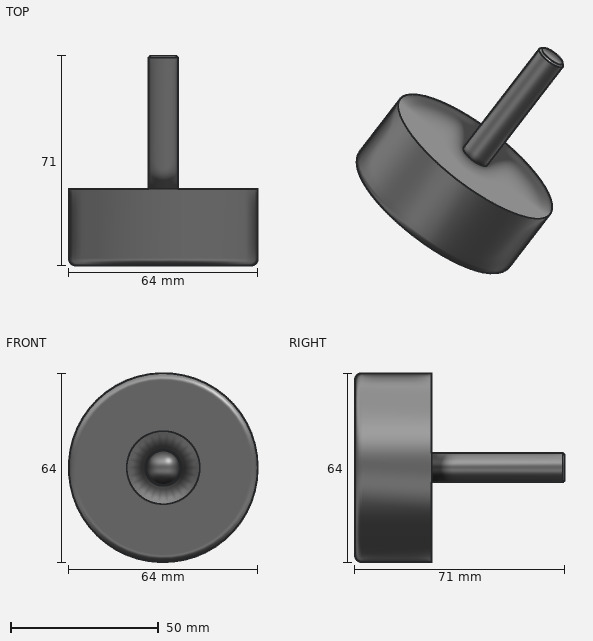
import cadquery as cq

total_length = 71.0
body_diameter = 64.0
body_length = 26.0
rim_radius = 2.5
stud_diameter = 10.0
stud_chamfer = 0.7

recess_mouth_diameter = 24.7
recess_floor_diameter = 12.35
recess_depth = 23.6
dome_diameter = 11.5
dome_height = 4.0

body_radius = body_diameter / 2
dome_radius = dome_diameter / 2
mouth_radius = recess_mouth_diameter / 2
floor_radius = recess_floor_diameter / 2


def make_body():
    """Round body with a rounded front rim and a tapered recess."""
    disc = cq.Workplane("XZ").circle(body_radius).extrude(-body_length)
    disc = disc.faces("<Y").edges().fillet(rim_radius)
    recess = (
        cq.Workplane("XY")
        .moveTo(0, 0)
        .lineTo(mouth_radius, 0)
        .lineTo(floor_radius, recess_depth)
        .lineTo(0, recess_depth)
        .close()
        .revolve(360, (0, 0, 0), (0, 1, 0))
    )
    return disc.cut(recess)


def make_stud():
    """Plain stud behind the body, chamfered at its free end."""
    stud = (
        cq.Workplane("XZ", origin=(0, body_length, 0))
        .circle(stud_diameter / 2)
        .extrude(body_length - total_length)
    )
    return stud.faces(">Y").edges().chamfer(stud_chamfer)


def make_dome():
    """Spherical cap standing on the recess floor."""
    sphere_radius = (dome_radius**2 + dome_height**2) / (2 * dome_height)
    sphere_center = recess_depth - dome_height + sphere_radius
    ball = cq.Workplane("XY").sphere(sphere_radius).translate((0, sphere_center, 0))
    space_above_floor = cq.Workplane("XZ").circle(body_radius).extrude(-recess_depth)
    return ball.intersect(space_above_floor)


result = make_body().union(make_stud()).union(make_dome())